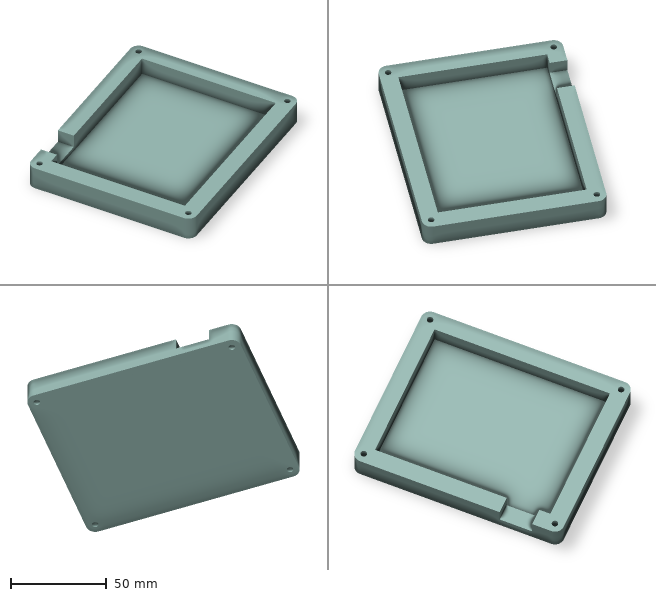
import cadquery as cq

width = 98.5
length = 118.5
height = 13.0
corner_radius = 5.0

rim = 9.5
pocket_depth = 10.1

hole_diameter = 3.4
hole_inset = corner_radius

notch_width = 18.5
notch_depth = 7.5
notch_front_offset = 15.8


def make_block():
    block = cq.Workplane("XY").box(width, length, height, centered=(True, True, False))
    return block.edges("|Z").fillet(corner_radius)


def make_pocket():
    return (
        cq.Workplane("XY")
        .workplane(offset=height - pocket_depth)
        .rect(width - 2 * rim, length - 2 * rim)
        .extrude(pocket_depth)
    )


def make_notch():
    return (
        cq.Workplane("XY")
        .box(rim, notch_width, notch_depth, centered=False)
        .translate((-width / 2, -length / 2 + notch_front_offset, height - notch_depth))
    )


def make_screw_holes():
    return (
        cq.Workplane("XY")
        .rect(width - 2 * hole_inset, length - 2 * hole_inset, forConstruction=True)
        .vertices()
        .circle(hole_diameter / 2)
        .extrude(height)
    )


result = make_block().cut(make_pocket()).cut(make_notch()).cut(make_screw_holes())